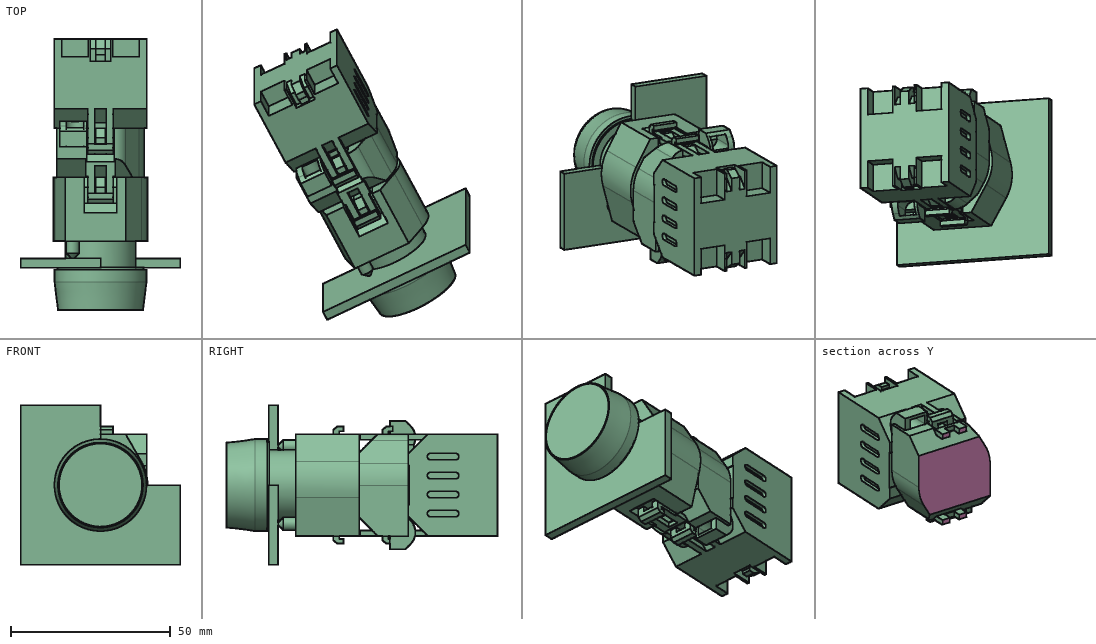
import cadquery as cq
import math


LENGTH = 84.9
HALF_HEIGHT = 15.95

RIM_TAPER_Y = 8.8
BEZEL_BACK_Y = 12.7
GASKET_BACK_Y = 13.4
PLATE_BACK_Y = 16.2
COLLAR_FRONT_Y = 21.6
COLLAR_BACK_Y = 41.6
ADAPTER_BACK_Y = 56.9

FACE_RADIUS = 13.3
BEZEL_RADIUS = 14.4
BUSHING_RADIUS = 11.0
GASKET_RADIUS = 13.5
CAP_RADIUS = 13.0
CAP_DEPTH = 2.55

PLATE_SIDE = 50.0
PLATE_THICKNESS = 3.0

SCREW_RADIUS = 2.0
SCREW_X = -8.65
SCREW_Z = 12.1
SCREW_TIP_RADIUS = 0.4
SCREW_TIP_LENGTH = SCREW_RADIUS - SCREW_TIP_RADIUS

COLLAR_RADIUS = 14.8
COLLAR_STEEP_ANGLE = 15.0
FLAT_ANGLE = 30.0
ADAPTER_RADIUS = 13.75
ADAPTER_CORNER_RADIUS = 4.0

ADAPTER_CHAMFER = 5.8
BLOCK_CHAMFER = 6.1

TONGUE_THICKNESS = 1.8
TONGUE_BOTTOM = HALF_HEIGHT - TONGUE_THICKNESS
TONGUE_HALF_WIDTH = 4.0
BRIDGE_HALF_WIDTH = 4.7
BRIDGE_GAP = 0.3
SLOT_HALF_WIDTH = 1.8
ADAPTER_SLOT_OFFSET = 3.65
HOOK_REACH = 8.15
HOOK_LENGTH = 3.2
HOOK_NECK = 1.95
HOOK_TOP = 18.3
HOOK_NOSE_BOTTOM = 16.8
HOOK_BEVEL_RUN = 1.3
HOOK_BEVEL_DROP = 1.0
CATCH_RAMP = 3.05
CATCH_STEP = 5.0
RIB_RAMP_DROP = 1.9
RIB_HALF_WIDTH = 1.45
COLLAR_CATCH_HALF_WIDTH = 5.0
COLLAR_CATCH_SLOPE = 2.9
ADAPTER_CATCH_HALF_WIDTH = 4.25
ADAPTER_CATCH_SLOPE = 2.3
BLOCK_CATCH_HALF_WIDTH = 3.2
BLOCK_CATCH_REACH = 7.05
BLOCK_CATCH_DEPTH = 2.9
BLOCK_RIB_FOOT_DROP = 1.0

BOX_LEFT = -12.7
BOX_RIGHT = -4.3
BOX_FRONT_Y = 51.2
BOX_TOP = 20.1
BOX_TOP_BACK_Y = 56.0
BOX_BEVEL = 1.7
BOX_BULGE_Y = 59.15
BOX_BULGE_Z = 14.4
BOX_FOOT_Z = 10.5
BOX_ROOF_Z = 19.1
WELL_RADIUS = 2.7
WELL_X = -8.0
WELL_Z = 16.1
TAB_LENGTH = 1.7
TAB_TOP = 12.65

BLOCK_HALF_WIDTH = 14.5
RELIEF_DEPTH = 0.25
RELIEF_HALF_HEIGHT = 6.1
VENT_COUNT = 4
VENT_PITCH = 5.9
VENT_HEIGHT = 2.0
VENT_LENGTH = 9.85
VENT_FRONT_Y = 62.9
VENT_DEPTH = 1.3
POCKET_INNER_X = 3.9
POCKET_WIDTH = 8.2
POCKET_LENGTH = 5.5
POCKET_DEPTH = 8.5


def disc(radius, front_y, back_y):
    """Cylinder on the Y axis between two stations."""
    return cq.Workplane("XZ", origin=(0, back_y, 0)).circle(radius).extrude(back_y - front_y)


def centred_prism(points, half_width):
    """Closed (Y, Z) polygon extruded along X to both sides of the middle plane."""
    return cq.Workplane("YZ", origin=(-half_width, 0, 0)).polyline(points).close().extrude(2 * half_width)


def block_between(low, high):
    """Box from its low corner to its high corner."""
    size = [b - a for a, b in zip(low, high)]
    return cq.Workplane("XY").box(*size, centered=False).translate(low)


def half_turn(shape):
    return shape.rotate((0, 0, 0), (0, 1, 0), 180)


def add_twice(body, feature):
    return body.union(feature).union(half_turn(feature))


def cut_twice(body, feature):
    return body.cut(feature).cut(half_turn(feature))


def on_circle(radius, degrees):
    angle = math.radians(degrees)
    return (radius * math.cos(angle), radius * math.sin(angle))


def flat_at_height(radius, tilt, z):
    """X where a flat tangent to the circle, tilted from the vertical, reaches height z."""
    angle = math.radians(tilt)
    return (radius - z * math.sin(angle)) / math.cos(angle)


def opposite(point):
    return (-point[0], -point[1])



def hook_tongue(start_y, face_y):
    """Tongue from start_y forward to a hook that enters the catch in face_y."""
    front = face_y - HOOK_REACH
    points = [
        (start_y, HALF_HEIGHT),
        (front + HOOK_NECK, HALF_HEIGHT),
        (front + HOOK_NECK, HOOK_NOSE_BOTTOM),
        (front + HOOK_LENGTH, HOOK_NOSE_BOTTOM),
        (front + HOOK_LENGTH, HOOK_TOP),
        (front + HOOK_BEVEL_RUN, HOOK_TOP),
        (front, HOOK_TOP - HOOK_BEVEL_DROP),
        (front, TONGUE_BOTTOM),
        (start_y, TONGUE_BOTTOM),
    ]
    return centred_prism(points, TONGUE_HALF_WIDTH)


def tongue_slot(start_y, face_y):
    """Slot along a tongue that also notches the foot of the hook."""
    return block_between(
        (-SLOT_HALF_WIDTH, face_y - HOOK_REACH, TONGUE_BOTTOM),
        (SLOT_HALF_WIDTH, start_y, HALF_HEIGHT),
    )


def catch_recess(face_y, reach, wall_run, half_width, floor_z):
    """Recess open to face_y, with a lead-in ramp and a ramped rib left standing inside."""
    front = face_y - reach
    ramp = face_y - CATCH_RAMP
    rib_front = face_y - CATCH_STEP
    bottom = floor_z - CATCH_RAMP
    recess = centred_prism([
        (front - wall_run, HALF_HEIGHT),
        (front, floor_z),
        (ramp, floor_z),
        (face_y, bottom),
        (face_y, HALF_HEIGHT),
    ], half_width)
    rib = centred_prism([
        (rib_front, bottom),
        (rib_front, HALF_HEIGHT),
        (ramp, HALF_HEIGHT),
        (face_y, HALF_HEIGHT - RIB_RAMP_DROP),
        (face_y, bottom),
    ], RIB_HALF_WIDTH)
    return recess.cut(rib)


def joint_catch(face_y, wall_run, half_width):
    """Catch for a hook: its front wall slopes down at 45 degrees to the floor."""
    return catch_recess(face_y, HOOK_REACH, wall_run, half_width, HALF_HEIGHT - wall_run)



def make_cap():
    return disc(CAP_RADIUS, 0, CAP_DEPTH)


def make_operator():
    """Bezel and threaded bushing in one turned piece, recessed for the cap."""
    turned = (
        cq.Workplane("XY")
        .polyline([
            (0, 0),
            (FACE_RADIUS, 0),
            (BEZEL_RADIUS, RIM_TAPER_Y),
            (BEZEL_RADIUS, BEZEL_BACK_Y),
            (BUSHING_RADIUS, BEZEL_BACK_Y),
            (BUSHING_RADIUS, COLLAR_FRONT_Y),
            (0, COLLAR_FRONT_Y),
        ])
        .close()
        .revolve(360, (0, 0), (0, 1))
    )
    return turned.cut(make_cap())


def make_gasket():
    ring = disc(GASKET_RADIUS, BEZEL_BACK_Y, GASKET_BACK_Y)
    return ring.cut(disc(BUSHING_RADIUS, BEZEL_BACK_Y, GASKET_BACK_Y))


def make_plate():
    """Square panel without its upper right quarter, bored for the bushing and the gasket."""
    half = PLATE_SIDE / 2
    front = PLATE_BACK_Y - PLATE_THICKNESS
    plate = block_between((-half, front, -half), (half, PLATE_BACK_Y, half))
    plate = plate.cut(block_between((0, front, 0), (half, PLATE_BACK_Y, half)))
    plate = plate.cut(disc(BUSHING_RADIUS, front, PLATE_BACK_Y))
    return plate.cut(disc(GASKET_RADIUS, front, GASKET_BACK_Y))


def make_screw(side):
    """Clamp screw with a blunt conical tip against the plate; side +1 or -1 picks the place."""
    tip_y = PLATE_BACK_Y
    screw = (
        cq.Workplane("XY")
        .polyline([
            (0, tip_y),
            (SCREW_TIP_RADIUS, tip_y),
            (SCREW_RADIUS, tip_y + SCREW_TIP_LENGTH),
            (SCREW_RADIUS, COLLAR_FRONT_Y),
            (0, COLLAR_FRONT_Y),
        ])
        .close()
        .revolve(360, (0, 0), (0, 1))
    )
    return screw.translate((side * SCREW_X, 0, side * SCREW_Z))



def make_collar():
    top_left = (-flat_at_height(COLLAR_RADIUS, COLLAR_STEEP_ANGLE, HALF_HEIGHT), HALF_HEIGHT)
    top_right = (flat_at_height(COLLAR_RADIUS, FLAT_ANGLE, HALF_HEIGHT), HALF_HEIGHT)
    upper_tangent = on_circle(COLLAR_RADIUS, FLAT_ANGLE)
    side = on_circle(COLLAR_RADIUS, 0)
    lower_tangent = on_circle(COLLAR_RADIUS, -COLLAR_STEEP_ANGLE)
    collar = (
        cq.Workplane("XZ", origin=(0, COLLAR_BACK_Y, 0))
        .moveTo(*top_left)
        .lineTo(*top_right)
        .lineTo(*upper_tangent)
        .threePointArc(side, lower_tangent)
        .lineTo(*opposite(top_left))
        .lineTo(*opposite(top_right))
        .lineTo(*opposite(upper_tangent))
        .threePointArc(opposite(side), opposite(lower_tangent))
        .close()
        .extrude(COLLAR_BACK_Y - COLLAR_FRONT_Y)
    )
    catch = joint_catch(COLLAR_BACK_Y, COLLAR_CATCH_SLOPE, COLLAR_CATCH_HALF_WIDTH)
    return cut_twice(collar, catch)



def adapter_shell():
    """Outline with a straight left side, an arc and a 30 degree flat with a rounded corner."""
    corner_x = flat_at_height(ADAPTER_RADIUS, FLAT_ANGLE, HALF_HEIGHT)
    turn = math.radians(90 - FLAT_ANGLE)
    tangent_length = ADAPTER_CORNER_RADIUS * math.tan(turn / 2)
    round_start_x = corner_x - tangent_length
    round_start = (round_start_x, HALF_HEIGHT)
    round_centre_z = HALF_HEIGHT - ADAPTER_CORNER_RADIUS
    round_middle = (
        round_start_x + ADAPTER_CORNER_RADIUS * math.sin(turn / 2),
        round_centre_z + ADAPTER_CORNER_RADIUS * math.cos(turn / 2),
    )
    round_end = (
        round_start_x + ADAPTER_CORNER_RADIUS * math.sin(turn),
        round_centre_z + ADAPTER_CORNER_RADIUS * math.cos(turn),
    )
    top_left = (-ADAPTER_RADIUS, HALF_HEIGHT)
    tangent = on_circle(ADAPTER_RADIUS, FLAT_ANGLE)
    arc_middle = on_circle(ADAPTER_RADIUS, FLAT_ANGLE / 2)
    side = on_circle(ADAPTER_RADIUS, 0)
    return (
        cq.Workplane("XZ", origin=(0, ADAPTER_BACK_Y, 0))
        .moveTo(*top_left)
        .lineTo(*round_start)
        .threePointArc(round_middle, round_end)
        .lineTo(*tangent)
        .threePointArc(arc_middle, side)
        .lineTo(*opposite(top_left))
        .lineTo(*opposite(round_start))
        .threePointArc(opposite(round_middle), opposite(round_end))
        .lineTo(*opposite(tangent))
        .threePointArc(opposite(arc_middle), opposite(side))
        .close()
        .extrude(ADAPTER_BACK_Y - COLLAR_BACK_Y)
    )


def terminal_box():
    """Terminal shroud with a bevelled top edge and a bulging back."""
    return (
        cq.Workplane("YZ", origin=(BOX_LEFT, 0, 0))
        .moveTo(BOX_FRONT_Y, BOX_FOOT_Z)
        .lineTo(BOX_FRONT_Y, BOX_TOP)
        .lineTo(BOX_TOP_BACK_Y, BOX_TOP)
        .lineTo(BOX_TOP_BACK_Y + BOX_BEVEL, BOX_TOP - BOX_BEVEL)
        .threePointArc((BOX_BULGE_Y, BOX_BULGE_Z), (ADAPTER_BACK_Y, BOX_FOOT_Z))
        .close()
        .extrude(BOX_RIGHT - BOX_LEFT)
    )


def terminal_well():
    """Round-bottomed screw well through the back of a terminal box."""
    well_floor = disc(WELL_RADIUS, BOX_FRONT_Y, BOX_BULGE_Y).translate((WELL_X, 0, WELL_Z))
    well_top = block_between(
        (WELL_X - WELL_RADIUS, BOX_FRONT_Y, WELL_Z),
        (WELL_X + WELL_RADIUS, BOX_BULGE_Y, BOX_ROOF_Z),
    )
    return well_floor.union(well_top)


def back_tab():
    """Small tab behind the catch rib that rests on the chamfer of the contact block."""
    foot_z = HALF_HEIGHT - BLOCK_CHAMFER
    return centred_prism([
        (ADAPTER_BACK_Y, foot_z),
        (ADAPTER_BACK_Y + TAB_LENGTH, foot_z + TAB_LENGTH),
        (ADAPTER_BACK_Y + TAB_LENGTH, TAB_TOP),
        (ADAPTER_BACK_Y, TAB_TOP),
    ], SLOT_HALF_WIDTH)


def make_adapter():
    adapter = adapter_shell()
    chamfer = centred_prism([
        (COLLAR_BACK_Y, HALF_HEIGHT),
        (COLLAR_BACK_Y + ADAPTER_CHAMFER, HALF_HEIGHT),
        (COLLAR_BACK_Y, HALF_HEIGHT - ADAPTER_CHAMFER),
    ], ADAPTER_RADIUS)
    adapter = cut_twice(adapter, chamfer)

    tongue_root_y = COLLAR_BACK_Y + ADAPTER_CHAMFER
    bridge = block_between(
        (-BRIDGE_HALF_WIDTH, COLLAR_BACK_Y + BRIDGE_GAP, TONGUE_BOTTOM),
        (BRIDGE_HALF_WIDTH, tongue_root_y, HALF_HEIGHT),
    )
    adapter = add_twice(adapter, bridge.union(hook_tongue(tongue_root_y, COLLAR_BACK_Y)))
    adapter = cut_twice(adapter, tongue_slot(COLLAR_BACK_Y + ADAPTER_SLOT_OFFSET, COLLAR_BACK_Y))

    adapter = add_twice(adapter, terminal_box())
    adapter = cut_twice(adapter, terminal_well())
    catch = joint_catch(ADAPTER_BACK_Y, ADAPTER_CATCH_SLOPE, ADAPTER_CATCH_HALF_WIDTH)
    adapter = cut_twice(adapter, catch)
    return add_twice(adapter, back_tab())



def side_vents():
    """Row of round-ended blind slots in the left side."""
    middle_y = VENT_FRONT_Y + VENT_LENGTH / 2
    centres = [(middle_y, (i - (VENT_COUNT - 1) / 2) * VENT_PITCH) for i in range(VENT_COUNT)]
    return (
        cq.Workplane("YZ", origin=(-BLOCK_HALF_WIDTH, 0, 0))
        .pushPoints(centres)
        .slot2D(VENT_LENGTH, VENT_HEIGHT)
        .extrude(VENT_DEPTH)
    )


def wire_pocket(left_x):
    return block_between(
        (left_x, LENGTH - POCKET_LENGTH, HALF_HEIGHT - POCKET_DEPTH),
        (left_x + POCKET_WIDTH, LENGTH, HALF_HEIGHT),
    )


def back_catch():
    """Catch in the back face, with a straight front wall and a low foot ahead of its rib."""
    floor_z = HALF_HEIGHT - BLOCK_CATCH_DEPTH
    recess = catch_recess(LENGTH, BLOCK_CATCH_REACH, 0, BLOCK_CATCH_HALF_WIDTH, floor_z)
    rib_foot = block_between(
        (-RIB_HALF_WIDTH, LENGTH - BLOCK_CATCH_REACH, floor_z),
        (RIB_HALF_WIDTH, LENGTH - CATCH_STEP, HALF_HEIGHT - BLOCK_RIB_FOOT_DROP),
    )
    return recess.cut(rib_foot)


def make_contact_block():
    chamfer_end_y = ADAPTER_BACK_Y + BLOCK_CHAMFER
    chamfer_foot_z = HALF_HEIGHT - BLOCK_CHAMFER
    block = centred_prism([
        (ADAPTER_BACK_Y, -chamfer_foot_z),
        (ADAPTER_BACK_Y, chamfer_foot_z),
        (chamfer_end_y, HALF_HEIGHT),
        (LENGTH, HALF_HEIGHT),
        (LENGTH, -HALF_HEIGHT),
        (chamfer_end_y, -HALF_HEIGHT),
    ], BLOCK_HALF_WIDTH)
    relief = block_between(
        (-BLOCK_HALF_WIDTH, ADAPTER_BACK_Y, -RELIEF_HALF_HEIGHT),
        (BLOCK_HALF_WIDTH, ADAPTER_BACK_Y + RELIEF_DEPTH, RELIEF_HALF_HEIGHT),
    )
    block = block.cut(relief)

    tongue = hook_tongue(chamfer_end_y, ADAPTER_BACK_Y).cut(tongue_slot(chamfer_end_y, ADAPTER_BACK_Y))
    block = add_twice(block, tongue)

    block = cut_twice(block, side_vents())
    for left_x in (-POCKET_INNER_X - POCKET_WIDTH, POCKET_INNER_X):
        block = cut_twice(block, wire_pocket(left_x))
    return cut_twice(block, back_catch())


cap = make_cap()
operator = make_operator()
gasket = make_gasket()
plate = make_plate()
screws = [make_screw(side) for side in (1, -1)]
collar = make_collar()
adapter = make_adapter()
contact_block = make_contact_block()

bodies = [cap, operator, gasket, plate, *screws, collar, adapter, contact_block]
result = cq.Compound.makeCompound([body.solids().val() for body in bodies])